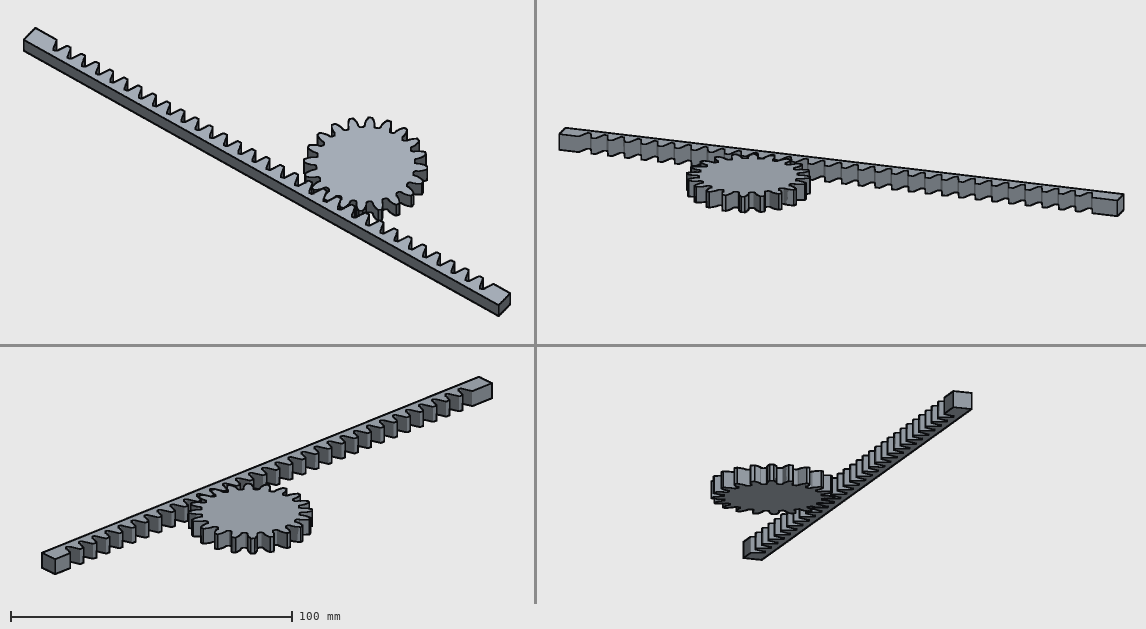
import cadquery as cq
import math

module = 2.0
pressure_angle = math.radians(20)
pitch = math.pi * module
addendum = module
dedendum = 1.25 * module
thickness = 6.0
overall_depth = 47.16

pinion_teeth = 20
pitch_radius = module * pinion_teeth / 2
base_radius = pitch_radius * math.cos(pressure_angle)
tip_radius = pitch_radius + addendum
root_radius = pitch_radius - dedendum
tooth_angle = 2 * math.pi / pinion_teeth
pinion_root_fillet = 1.05
flank_points = 6

rack_length = 210.0
rack_gaps = 31
rack_base = 2.5
rack_gap_fillet = 0.7
rack_tip_fillet = 0.25
first_gap_offset = 11.77
gaps_before_pinion = 19
edge_tolerance = 0.1

pinion_offset = 132.575

meshing_gap_offset = first_gap_offset + gaps_before_pinion * pitch
pinion_turn = (meshing_gap_offset - pinion_offset) / pitch_radius


def involute(angle):
    """Polar angle of an involute where its pressure angle is the given angle."""
    return math.tan(angle) - angle


def half_tooth_angle(radius):
    """Half of the angle a pinion tooth spans at a radius on or above the base circle."""
    local_pressure_angle = math.acos(min(1.0, base_radius / radius))
    return tooth_angle / 4 + involute(pressure_angle) - involute(local_pressure_angle)


def polar(radius, angle):
    return (radius * math.cos(angle), radius * math.sin(angle))


top_corner_angle = max(0.0, abs(pinion_turn) - half_tooth_angle(tip_radius))
rack_bottom = tip_radius * math.cos(top_corner_angle) - overall_depth
rack_root = rack_bottom + rack_base
rack_top = rack_root + addendum + dedendum
rack_left = -pinion_offset
rack_right = rack_left + rack_length


def make_pinion():
    tip_roll = math.sqrt((tip_radius / base_radius) ** 2 - 1)
    rolls = [tip_roll * i / (flank_points - 1) for i in range(flank_points)]
    radii = [base_radius * math.sqrt(1 + roll**2) for roll in rolls]
    foot = half_tooth_angle(base_radius)
    outline = cq.Workplane("XY").moveTo(*polar(root_radius, pinion_turn - foot))
    for tooth in range(pinion_teeth):
        center = pinion_turn + tooth * tooth_angle
        next_gap = center + tooth_angle / 2
        next_foot = center + tooth_angle - foot
        rising = [polar(r, center - half_tooth_angle(r)) for r in radii]
        falling = [polar(r, center + half_tooth_angle(r)) for r in reversed(radii)]
        outline = (
            outline.lineTo(*rising[0])
            .spline(rising[1:], includeCurrent=True)
            .threePointArc(polar(tip_radius, center), falling[0])
            .spline(falling[1:], includeCurrent=True)
            .lineTo(*polar(root_radius, center + foot))
            .threePointArc(polar(root_radius, next_gap), polar(root_radius, next_foot))
        )
    blank = outline.close().extrude(thickness)
    root_limit = (root_radius + base_radius) / 2
    root_edges = [
        edge
        for edge in blank.edges("|Z").vals()
        if math.hypot(edge.Center().x, edge.Center().y) < root_limit
    ]
    return blank.newObject(root_edges).fillet(pinion_root_fillet)


def rack_edges_at(rack, height):
    """Upright edges of the rack teeth at the given Y, without the end faces."""
    return rack.edges("|Z").edges(
        cq.selectors.BoxSelector(
            (rack_left + first_gap_offset / 2, height - edge_tolerance, 0),
            (rack_right - first_gap_offset / 2, height + edge_tolerance, thickness),
        )
    )


def make_rack():
    gap_half_top = pitch / 4 + addendum * math.tan(pressure_angle)
    gap_half_root = pitch / 4 - dedendum * math.tan(pressure_angle)
    outline = cq.Workplane("XY").moveTo(rack_left, rack_bottom).lineTo(rack_left, rack_top)
    for gap in range(rack_gaps):
        center = rack_left + first_gap_offset + gap * pitch
        outline = (
            outline.lineTo(center - gap_half_top, rack_top)
            .lineTo(center - gap_half_root, rack_root)
            .lineTo(center + gap_half_root, rack_root)
            .lineTo(center + gap_half_top, rack_top)
        )
    outline = outline.lineTo(rack_right, rack_top).lineTo(rack_right, rack_bottom)
    rack = outline.close().extrude(thickness)
    rack = rack_edges_at(rack, rack_root).fillet(rack_gap_fillet)
    return rack_edges_at(rack, rack_top).fillet(rack_tip_fillet)


pinion = make_pinion()
rack = make_rack()
result = cq.Compound.makeCompound([pinion.val(), rack.val()])